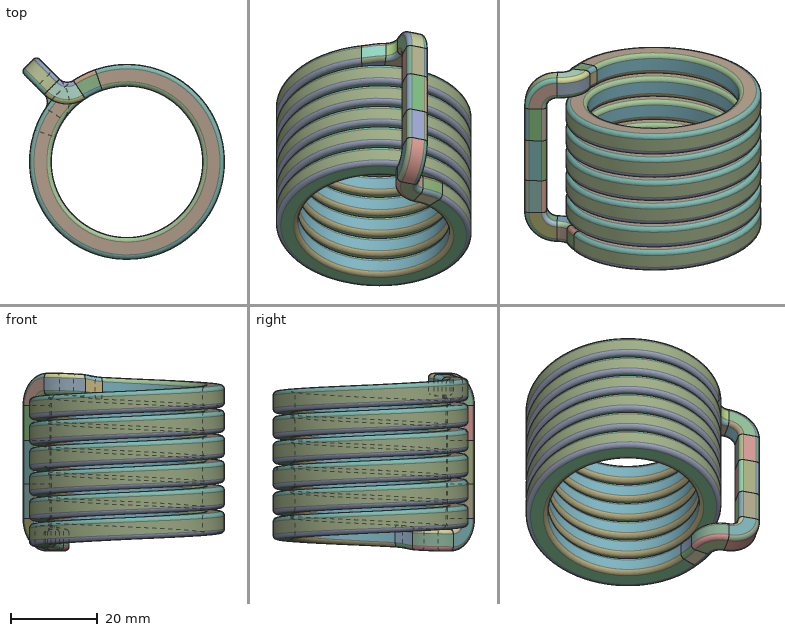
import cadquery as cq
import math


overall_width = 46.5
overall_height = 41.1

wire = 5.0
corner_radius = 1.0

coil_radius = 20.0
coil_rise = 34.15
whole_turns = 6

bend_radius = 5.0
bend_rise = 0.3
blend_length = 5.0
middle_length = 10.05
arc_steps = 8
handle_direction = 135.0

handle_z = (overall_height - wire) / 2
bend_centre_reach = coil_radius + bend_radius
bend_end_x = math.sqrt(bend_centre_reach ** 2 - bend_radius ** 2)
coil_side_x = coil_radius + wire / 2
handle_side_x = overall_width - coil_side_x
corner_centre_reach = math.sqrt(2) * (handle_side_x - corner_radius)
handle_x = corner_centre_reach - 2 * (wire / 2 - corner_radius)
elbow_radius = handle_x - bend_end_x
elbow_end_z = handle_z - elbow_radius

bend_start_angle = math.degrees(math.asin(bend_radius / bend_centre_reach))
coil_end_angle = bend_start_angle + math.degrees(blend_length / coil_radius)
coil_sweep = 360 * whole_turns - 2 * coil_end_angle
pitch = coil_rise * 360 / coil_sweep

bend_start_z = handle_z - bend_rise
bend_length = bend_radius * math.radians(90 - bend_start_angle)
bend_start_slope = 2 * bend_rise / bend_length


def wire_section(plane):
    """Rounded square outline of the wire, centred on the plane."""
    square = cq.Workplane(plane).rect(wire, wire).val()
    rounded = square.fillet2D(corner_radius, square.Vertices())
    return cq.Workplane(plane).newObject([rounded]).toPending()


def radial_plane(centre_x, centre_y, radius, angle, z):
    """Upright plane along a radius of an arc, with its origin at the wire centre at height z."""
    turn = math.radians(angle)
    outward = cq.Vector(math.cos(turn), math.sin(turn), 0)
    along = cq.Vector(-math.sin(turn), math.cos(turn), 0)
    centre = cq.Vector(centre_x, centre_y, z)
    return cq.Plane(centre + outward * radius, outward, along)


def eased_height(share, start_z, end_z, start_climb, end_climb):
    """Cubic height between two ends; a climb is an end slope held over the whole length."""
    lift = (end_z - start_z) * share ** 2 * (3 - 2 * share)
    leave = start_climb * share * (1 - share) ** 2
    arrive = end_climb * share ** 2 * (1 - share)
    return start_z + lift + leave - arrive


def make_climbing_arc(centre, radius, angles, heights, climbs):
    """Wire along an arc about an upright axis, lofted through sections at eased heights."""
    sections = []
    for step in range(arc_steps + 1):
        share = step / arc_steps
        angle = angles[0] + share * (angles[1] - angles[0])
        plane = radial_plane(*centre, radius, angle, eased_height(share, *heights, *climbs))
        sections.append(wire_section(plane).val())
    return cq.Workplane(cq.Solid.makeLoft(sections))


def make_coil():
    """Helical coil, from its bottom end up to its top end."""
    path = cq.Workplane(cq.Wire.makeHelix(pitch, coil_rise, coil_radius))
    coil = wire_section(radial_plane(0, 0, coil_radius, 0, 0)).sweep(path, isFrenet=True)
    return coil.rotate((0, 0, 0), (0, 0, 1), coil_end_angle).translate((0, 0, -coil_rise / 2))


def make_blend():
    """Steeper arc that carries on round the coil circle from the top end of the coil."""
    angles = (-coil_end_angle, -bend_start_angle)
    heights = (coil_rise / 2, bend_start_z)
    coil_climb = pitch * (coil_end_angle - bend_start_angle) / 360
    bend_climb = bend_start_slope * blend_length
    return make_climbing_arc((0, 0), coil_radius, angles, heights, (coil_climb, bend_climb))


def make_bend():
    """Bend that turns the wire from the coil circle out to the handle and ends level."""
    centre = (bend_end_x, -bend_radius)
    angles = (180 - bend_start_angle, 90)
    heights = (bend_start_z, handle_z)
    return make_climbing_arc(centre, bend_radius, angles, heights, (bend_start_slope * bend_length, 0))


def make_elbow():
    """Quarter bend from the level wire down into the upright handle."""
    start = wire_section(cq.Plane((bend_end_x, 0, handle_z), (0, 1, 0), (1, 0, 0)))
    return start.revolve(90, (0, -elbow_radius), (1, -elbow_radius))


def make_upright(bottom_z, top_z):
    """Straight stretch of the handle between two heights."""
    return wire_section(cq.Plane((handle_x, 0, bottom_z))).extrude(top_z - bottom_z)


coil = make_coil()
handle_middle = make_upright(-middle_length / 2, middle_length / 2)

upper_pieces = [
    make_blend(),
    make_bend(),
    make_elbow(),
    make_upright(middle_length / 2, elbow_end_z),
]
lower_pieces = [piece.rotate((0, 0, 0), (1, 0, 0), 180) for piece in upper_pieces]

bodies = [coil, handle_middle, *upper_pieces, *lower_pieces]
placed_bodies = [body.rotate((0, 0, 0), (0, 0, 1), handle_direction) for body in bodies]
result = cq.Compound.makeCompound([body.val() for body in placed_bodies])